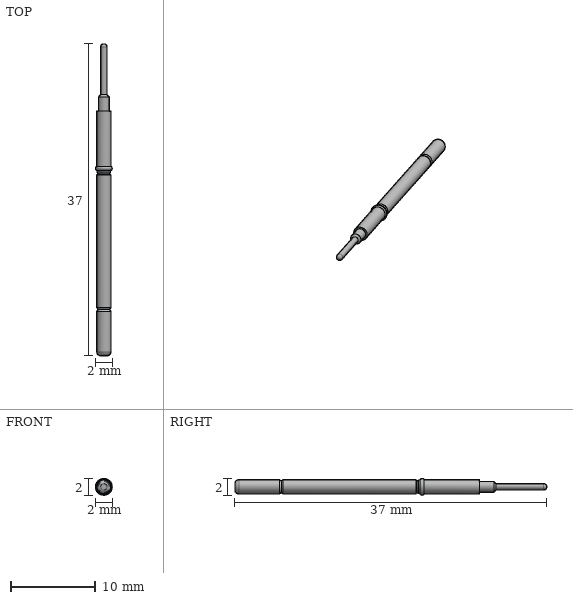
import cadquery as cq

total_length = 37.0
rear_groove_y = 5.5
front_groove_y = 21.57
flange_start_y = 21.98
flange_end_y = 22.45
sleeve_start_y = 29.0
sleeve_end_y = 30.97

barrel_diameter = 1.7
flange_diameter = 2.0
collar_diameter = 1.63
sleeve_diameter = 1.3
pin_diameter = 0.78

rear_rounding = 0.48
rear_groove_half_width = 0.22
front_groove_rear_length = 0.1
front_groove_front_length = 0.22
groove_depth = 0.15
sleeve_cone_length = 0.25

barrel_radius = barrel_diameter / 2
flange_radius = flange_diameter / 2
flange_middle_y = (flange_start_y + flange_end_y) / 2
collar_radius = collar_diameter / 2
sleeve_radius = sleeve_diameter / 2
pin_radius = pin_diameter / 2


def make_probe():
    """Revolve the half outline, given as (Y, radius), around the Y axis."""
    outline = (
        cq.Workplane("YZ")
        .moveTo(0, 0)
        .lineTo(0, barrel_radius - rear_rounding)
        .radiusArc((rear_rounding, barrel_radius), rear_rounding)
        .lineTo(rear_groove_y - rear_groove_half_width, barrel_radius)
        .lineTo(rear_groove_y, barrel_radius - groove_depth)
        .lineTo(rear_groove_y + rear_groove_half_width, barrel_radius)
        .lineTo(front_groove_y - front_groove_rear_length, barrel_radius)
        .lineTo(front_groove_y, barrel_radius - groove_depth)
        .lineTo(front_groove_y + front_groove_front_length, collar_radius)
        .lineTo(flange_start_y, collar_radius)
        .lineTo(flange_start_y, barrel_radius)
        .threePointArc((flange_middle_y, flange_radius), (flange_end_y, barrel_radius))
        .lineTo(sleeve_start_y, barrel_radius)
        .lineTo(sleeve_start_y, sleeve_radius)
        .lineTo(sleeve_end_y - sleeve_cone_length, sleeve_radius)
        .lineTo(sleeve_end_y, pin_radius)
        .lineTo(total_length - pin_radius, pin_radius)
        .radiusArc((total_length, 0), pin_radius)
        .close()
    )
    return outline.revolve(360, (0, 0, 0), (1, 0, 0))


result = make_probe()